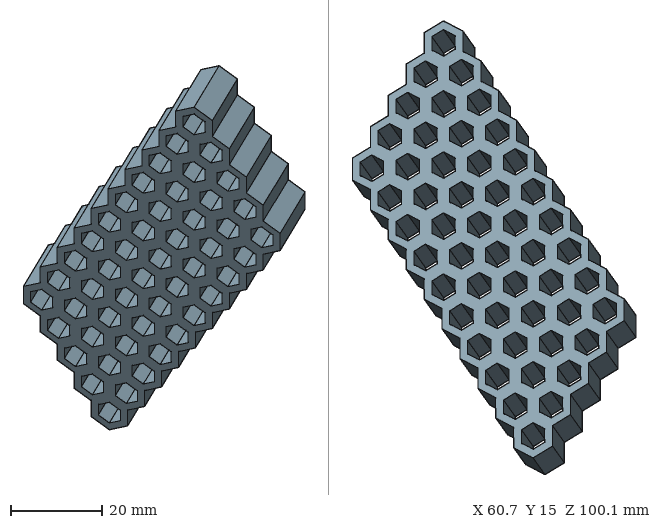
import cadquery as cq
import math

HEXAGON_SIDES = 6
LATTICE_ANGLE = math.radians(60)

overall_height = 100.1
depth = 15.0
cell_diameter = 10.0
hole_diameter = 6.0
short_side_cells = 5
long_side_cells = 10

row_count = short_side_cells + long_side_cells - 1
row_pitch = (overall_height - cell_diameter) / (row_count - 1)
cell_pitch = row_pitch / math.sin(LATTICE_ANGLE)


def cell_centers():
    """Centers (x, z) of all cells, with the rhomboid grid centered on the origin."""
    centers = []
    for right in range(short_side_cells):
        for left in range(long_side_cells):
            right_offset = right - (short_side_cells - 1) / 2
            left_offset = left - (long_side_cells - 1) / 2
            x = (right_offset - left_offset) * cell_pitch / 2
            z = -(right_offset + left_offset) * row_pitch
            centers.append((x, z))
    return centers


def hexagon_prisms(diameter):
    """One hexagonal prism per cell, running along Y through the full depth."""
    hexagon = cq.Sketch().regularPolygon(diameter / 2, HEXAGON_SIDES)
    return (
        cq.Workplane("XZ", origin=(0, depth / 2, 0))
        .pushPoints(cell_centers())
        .placeSketch(hexagon)
        .extrude(depth)
    )


plate = hexagon_prisms(cell_diameter).clean()

result = plate.cut(hexagon_prisms(hole_diameter))